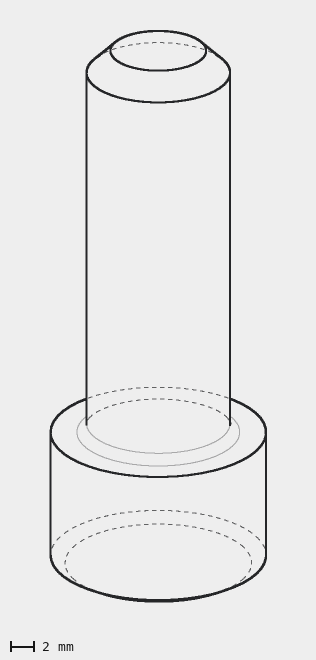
import cadquery as cq
import math

shank_diameter = 12.0
shank_length = 35.0
head_diameter = 1.5 * shank_diameter
head_height = shank_diameter
tip_chamfer = 2.0
neck_fillet = 0.8
head_chamfer_height = 0.7
head_chamfer_angle = 30.0

shank_radius = shank_diameter / 2
head_radius = head_diameter / 2
head_chamfer_width = head_chamfer_height / math.tan(math.radians(head_chamfer_angle))

head_end_z = -head_height
fillet_start = (shank_radius + neck_fillet, 0)
fillet_end = (shank_radius, neck_fillet)


def screw_profile():
    """Half section of the screw, with radius along X and height along Z."""
    return (
        cq.Workplane("XZ")
        .moveTo(0, head_end_z)
        .lineTo(head_radius - head_chamfer_width, head_end_z)
        .lineTo(head_radius, head_end_z + head_chamfer_height)
        .lineTo(head_radius, 0)
        .lineTo(*fillet_start)
        .radiusArc(fillet_end, neck_fillet)
        .lineTo(shank_radius, shank_length - tip_chamfer)
        .lineTo(shank_radius - tip_chamfer, shank_length)
        .lineTo(0, shank_length)
        .close()
    )


result = screw_profile().revolve(360, (0, 0, 0), (0, 1, 0))